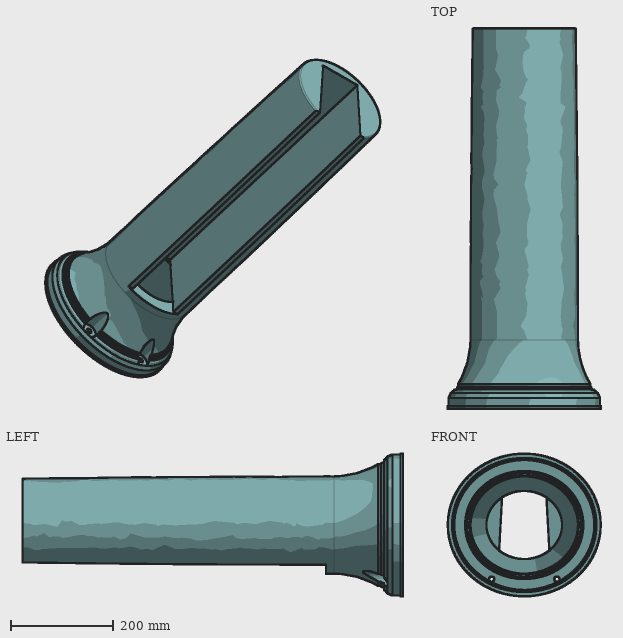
import cadquery as cq
import math


Y_AXIS = cq.Vector(0, 1, 0)
Z_AXIS = cq.Vector(0, 0, 1)

total_length = 745.0
flange_half_width = 150.0
flange_half_height = 140.0
oval_excess = flange_half_width - flange_half_height

lip_end = 5.0
lip_height = 1.5
rim_half_height = flange_half_height - lip_height
rim_end = 21.0
shoulder_front = 30.5
shoulder_front_half_height = 134.0
shoulder_back = 33.0
shoulder_back_half_height = 131.0
shoulder_end = 37.5
shoulder_end_half_height = 126.5
land_half_height = 122.5
land_step = 42.0
land_step_half_height = 121.5
land_end = 44.0

flare_start = 48.5
flare_start_half_height = 119.5
flare_end = 135.0
arm_half_height = 95.5
arm_tip_half_height = 91.0
arm_tip_round = 2.5
curve_sections = 6

bore_length = 151.0
bore_half_height = 95.0
bore_end_half_width = 74.0
bore_end_half_height = 66.5
bore_chamfer = 2.0

channel_top = bore_end_half_height
channel_top_half_width = 42.5
channel_bottom_half_width = 50.5
underside_drop = 78.0
underside_tip_drop = underside_drop - (arm_half_height - arm_tip_half_height)

groove_bands = [(131.5, 127.0), (106.0, 101.5)]
groove_depth = 3.0
groove_wall_taper = 1.5

bolt_x = 64.0
bolt_z = -106.0
bolt_hole_diameter = 10.0
bolt_recess_diameter = 32.0
bolt_recess_floor = 30.5


def plane_at(y):
    """XZ work plane at station y, with its normal toward -Y."""
    return cq.Workplane("XZ", origin=(0, y, 0))


def oval_loft(stations, ruled):
    """Solid through ovals given as (y, half width, half height)."""
    wires = []
    for y, half_width, half_height in stations:
        center = cq.Vector(0, y, 0)
        wires.append(cq.Wire.makeEllipse(half_height, half_width, center, Y_AXIS, Z_AXIS))
    return cq.Workplane(cq.Solid.makeLoft(wires, ruled))


def body_loft(profile, ruled=True):
    """Solid through ovals of the common proportion given as (y, half height)."""
    return oval_loft([(y, h + oval_excess, h) for y, h in profile], ruled)


def tangent_arc_profile(y_tangent, h_tangent, y_end, h_end):
    """Points on the arc that leaves (y_tangent, h_tangent) parallel to Y and reaches the end point."""
    run = y_end - y_tangent
    rise = h_end - h_tangent
    radius = (run**2 + rise**2) / (2 * abs(rise))
    profile = []
    for i in range(curve_sections + 1):
        step = run * i / curve_sections
        sag = radius - math.sqrt(radius**2 - step**2)
        profile.append((y_tangent + step, h_tangent + math.copysign(sag, rise)))
    return profile


def make_flange():
    lip = body_loft([(0, flange_half_height), (lip_end, flange_half_height)])
    rim = body_loft([(lip_end, rim_half_height), (rim_end, rim_half_height)])
    shoulder = body_loft([
        (rim_end, rim_half_height),
        (shoulder_front, shoulder_front_half_height),
        (shoulder_back, shoulder_back_half_height),
        (shoulder_end, shoulder_end_half_height),
    ])
    land = body_loft([
        (shoulder_end, land_half_height),
        (land_step, land_step_half_height),
        (land_end, flare_start_half_height),
        (flare_start, flare_start_half_height),
    ])
    return lip.union(rim).union(shoulder).union(land)


def make_flare():
    profile = tangent_arc_profile(flare_end, arm_half_height, flare_start, flare_start_half_height)
    return body_loft(profile, ruled=False)


def make_arm():
    profile = tangent_arc_profile(flare_end, arm_half_height, total_length, arm_tip_half_height)
    return body_loft(profile, ruled=False).faces(">Y").edges().fillet(arm_tip_round)


def make_bore():
    bore_half_width = bore_half_height + oval_excess
    return oval_loft(
        [
            (0, bore_half_width + bore_chamfer, bore_half_height + bore_chamfer),
            (bore_chamfer, bore_half_width, bore_half_height),
            (bore_length, bore_end_half_width, bore_end_half_height),
        ],
        ruled=True,
    )


def make_channel():
    """Drafted channel, open below and at the arm tip."""
    below_arm = -flange_half_height
    draft = (channel_bottom_half_width - channel_top_half_width) / (channel_top + underside_drop)
    opening_half_width = channel_top_half_width + draft * (channel_top - below_arm)
    return (
        plane_at(bore_length)
        .polyline([
            (-channel_top_half_width, channel_top),
            (channel_top_half_width, channel_top),
            (opening_half_width, below_arm),
            (-opening_half_width, below_arm),
        ])
        .close()
        .extrude(bore_length - total_length)
    )


def make_underside_cut():
    """Material removed below the arm, behind the bore, following the arm taper."""
    profile = tangent_arc_profile(bore_length, -underside_drop, total_length, -underside_tip_drop)
    middle = profile[len(profile) // 2]
    return (
        cq.Workplane("YZ")
        .moveTo(bore_length, -flange_half_height)
        .lineTo(bore_length, -underside_drop)
        .threePointArc(middle, (total_length, -underside_tip_drop))
        .lineTo(total_length, -flange_half_height)
        .close()
        .extrude(flange_half_width, both=True)
    )


def make_groove(outer, inner):
    """Oval ring that narrows toward the groove floor."""
    outside = body_loft([(0, outer), (groove_depth, outer - groove_wall_taper)])
    island = body_loft([(0, inner), (groove_depth, inner + groove_wall_taper)])
    return outside.cut(island)


def make_bolt_cut(x):
    """Through hole in the flange with a round recess cut into the flare behind it."""
    hole = plane_at(0).center(x, bolt_z).circle(bolt_hole_diameter / 2).extrude(-bore_length)
    recess = (
        plane_at(bolt_recess_floor)
        .center(x, bolt_z)
        .circle(bolt_recess_diameter / 2)
        .extrude(bolt_recess_floor - bore_length)
    )
    return hole.union(recess)


body = make_flange().union(make_flare()).union(make_arm())
body = body.cut(make_bore()).cut(make_channel()).cut(make_underside_cut())
for outer, inner in groove_bands:
    body = body.cut(make_groove(outer, inner))
for side in (-1, 1):
    body = body.cut(make_bolt_cut(side * bolt_x))

result = body